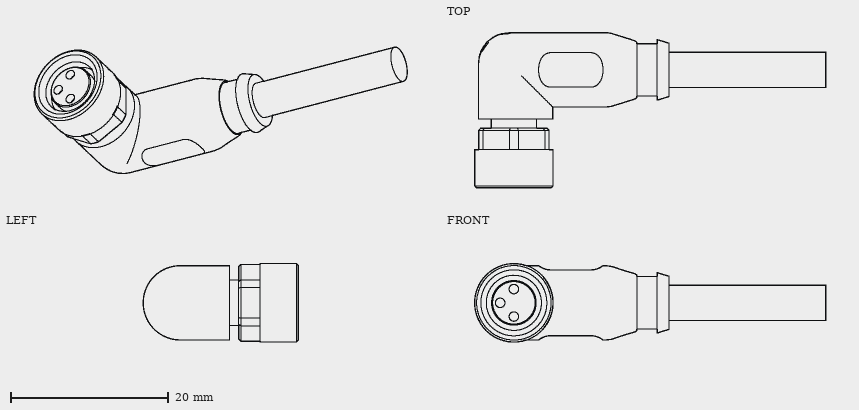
import cadquery as cq
import math


total_length = 44.7
total_depth = 19.75

body_dia = 9.5
body_radius = body_dia / 2
body_offset = 0.22
corner_setback = 0.75
corner_direction = 135
leg_end_y = -6.25

barrel_end_x = 11.75
taper_start_x = 12.65
taper_end_x = 15.3
shoulder_x = 15.65
collar_start_x = 18.25
collar_end_x = 19.75
taper_start_dia = 9.15
taper_end_dia = 7.5
shoulder_dia = 7.0
strain_relief_dia = 6.7
collar_dia = 7.75
collar_end_dia = 6.8
cable_dia = 4.5

flat_start_x = 4.7
flat_end_x = 9.8
flat_half_height = 4.2
flat_end_radius = 2.5

neck_dia = 5.8
nut_dia = 10.0
nut_front_y = body_radius - total_depth
nut_back_y = -10.15
nut_chamfer = 0.25
hex_back_y = -7.42
hex_across_flats = 9.0
hex_corner_dia = 9.8
hex_chamfer = 0.25

socket_mouth_dia = 8.4
socket_bore_dia = 7.0
socket_cone_depth = 0.63
socket_depth = 2.25
insert_dia = 5.7
insert_recess = 0.63
insert_chamfer = 0.15
contact_dia = 1.2
contact_circle_radius = 1.75
contact_angles = (90, 180, 270)
contact_depth = 1.35

nut_radius = nut_dia / 2
cable_end_x = total_length - nut_radius
reach = body_dia
skew = corner_setback / body_radius


def cylinder_y(diameter, start_y, end_y):
    """Cylinder on the nut axis between two Y stations."""
    return cq.Workplane("XZ", origin=(0, end_y, 0)).circle(diameter / 2).extrude(end_y - start_y)


def prism_z(points):
    """Tall prism over a plan outline given from the centre of the elbow."""
    return (
        cq.Workplane("XY", origin=(body_offset, 0, 0))
        .polyline(points)
        .close()
        .extrude(body_dia, both=True)
    )


def elbow_corner():
    """Ellipsoid that touches both leg cylinders along the corner planes, cut to the corner wedge."""
    long_axis = math.sqrt(1 + skew)
    short_axis = math.sqrt(1 - skew)
    stretch = cq.Matrix([[long_axis, 0, 0, 0], [0, short_axis, 0, 0], [0, 0, 1, 0]])
    ball = cq.Workplane("XY").sphere(body_radius).val().transformGeometry(stretch)
    ellipsoid = cq.Workplane(obj=ball).rotate((0, 0, 0), (0, 0, 1), corner_direction)
    ellipsoid = ellipsoid.translate((body_offset, 0, 0))
    wedge = prism_z([(0, 0), (-skew * reach, reach), (-reach, reach), (-reach, skew * reach)])
    return ellipsoid.intersect(wedge)


def nut_leg():
    """Elbow leg along Y, mitred against the cable leg."""
    leg = cylinder_y(body_dia, leg_end_y, body_radius).translate((body_offset, 0, 0))
    region = prism_z([(0, 0), (-reach, skew * reach), (-reach, -reach), (reach, -reach)])
    return leg.intersect(region)


def cable_leg():
    """Elbow leg along X: barrel, taper, strain relief, collar and cable."""
    taper_start = (taper_start_x, taper_start_dia / 2)
    profile = (
        cq.Workplane("XY")
        .moveTo(-body_radius, 0)
        .lineTo(-body_radius, body_radius)
        .lineTo(barrel_end_x, body_radius)
        .tangentArcPoint(taper_start, relative=False)
        .lineTo(taper_end_x, taper_end_dia / 2)
        .tangentArcPoint((shoulder_x, shoulder_dia / 2), relative=False)
        .lineTo(shoulder_x, strain_relief_dia / 2)
        .lineTo(collar_start_x, strain_relief_dia / 2)
        .lineTo(collar_start_x, collar_dia / 2)
        .lineTo(collar_end_x, collar_end_dia / 2)
        .lineTo(collar_end_x, cable_dia / 2)
        .lineTo(cable_end_x, cable_dia / 2)
        .lineTo(cable_end_x, 0)
        .close()
    )
    leg = profile.revolve(360, (0, 0, 0), (1, 0, 0))
    far_x = cable_end_x + reach
    region = prism_z([(0, 0), (reach, -reach), (far_x, -reach), (far_x, reach), (-skew * reach, reach)])
    return leg.intersect(region)


def finger_flat():
    """Cutter for the upper flat, with a concave run-out at each end."""
    run_out = (flat_end_radius, flat_end_radius)
    return (
        cq.Workplane("XZ")
        .moveTo(flat_start_x, flat_half_height)
        .lineTo(flat_end_x, flat_half_height)
        .tangentArcPoint(run_out)
        .lineTo(flat_start_x - flat_end_radius, flat_half_height + flat_end_radius)
        .radiusArc((flat_start_x, flat_half_height), -flat_end_radius)
        .close()
        .extrude(body_radius, both=True)
    )


def coupling_nut():
    """Round nut with a hexagon whose corners are turned down."""
    ring = cylinder_y(nut_dia, nut_front_y, nut_back_y).faces("<Y").chamfer(nut_chamfer)
    hexagon = (
        cq.Workplane("XZ", origin=(0, hex_back_y, 0))
        .polygon(6, hex_across_flats, circumscribed=True)
        .extrude(hex_back_y - nut_back_y)
    )
    turned = cylinder_y(hex_corner_dia, nut_back_y, hex_back_y)
    hexagon = hexagon.intersect(turned).faces(">Y").chamfer(hex_chamfer)
    return ring.union(hexagon)


def socket():
    """Cutter for the countersunk bore in the nut face."""
    floor_y = nut_front_y + socket_depth
    return (
        cq.Workplane("XY")
        .moveTo(0, nut_front_y)
        .lineTo(socket_mouth_dia / 2, nut_front_y)
        .lineTo(socket_bore_dia / 2, nut_front_y + socket_cone_depth)
        .lineTo(socket_bore_dia / 2, floor_y)
        .lineTo(0, floor_y)
        .close()
        .revolve(360, (0, 0, 0), (0, 1, 0))
    )


def contact_insert():
    """Insert standing in the socket, with three contact holes."""
    face_y = nut_front_y + insert_recess
    insert = cylinder_y(insert_dia, face_y, nut_front_y + socket_depth).faces("<Y").chamfer(insert_chamfer)
    for angle in contact_angles:
        x = contact_circle_radius * math.cos(math.radians(angle))
        z = contact_circle_radius * math.sin(math.radians(angle))
        hole = cylinder_y(contact_dia, face_y, face_y + contact_depth).translate((x, 0, z))
        insert = insert.cut(hole)
    return insert


elbow = cable_leg().union(nut_leg()).union(elbow_corner())
upper_flat = finger_flat()
elbow = elbow.cut(upper_flat).cut(upper_flat.mirror("XY"))

neck = cylinder_y(neck_dia, hex_back_y, leg_end_y)
nut = coupling_nut().cut(socket()).union(contact_insert())

result = elbow.union(neck).union(nut)